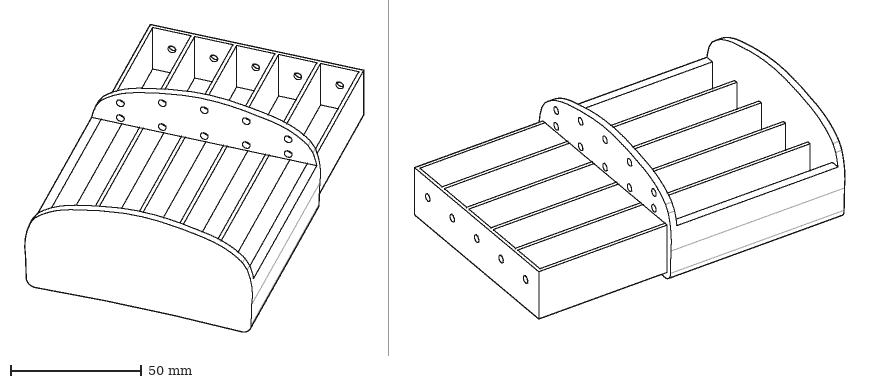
import cadquery as cq

total_length = 139.1
housing_length = 80.0
plate_thickness = 2.9

compartment_count = 5
tray_width = 87.0
wall = 1.5
compartment_pitch = (tray_width - wall) / compartment_count
compartment_width = compartment_pitch - wall
tray_bottom = 3.2
tray_top = 25.0
floor_top = tray_bottom + wall

crown_height = 45.9
crown_side = (21.7, 43.3)
shoulder_start = (34.5, 39.4)
shoulder_end = (42.3, 34.0)
side_top = (44.2, 30.9)
side_middle = (46.3, 20.9)
side_bottom = (46.0, 14.5)
corner_top = (45.8, 4.0)
corner_middle = (44.7, 1.1)
corner_bottom = (41.6, 0)
underside_rise = 1.0

hole_diameter = 3.0
upper_hole_heights = (34.9, 39.4, 40.3, 39.4, 34.9)
lower_hole_height = 27.7
back_hole_height = 16.3


def mirrored(point):
    return (-point[0], point[1])


def housing_prism(start_y, end_y):
    """Housing outline extruded between two Y positions."""
    crown_points = [
        mirrored(shoulder_start),
        mirrored(crown_side),
        (0, crown_height),
        crown_side,
        shoulder_start,
        shoulder_end,
    ]
    return (
        cq.Workplane("XZ", origin=(0, start_y, 0))
        .moveTo(*mirrored(shoulder_end))
        .spline(crown_points, includeCurrent=True)
        .lineTo(*side_top)
        .threePointArc(side_middle, side_bottom)
        .lineTo(*corner_top)
        .threePointArc(corner_middle, corner_bottom)
        .threePointArc((0, underside_rise), mirrored(corner_bottom))
        .threePointArc(mirrored(corner_middle), mirrored(corner_top))
        .lineTo(*mirrored(side_bottom))
        .threePointArc(mirrored(side_middle), mirrored(side_top))
        .close()
        .extrude(start_y - end_y)
    )


def block(width, start_y, end_y, bottom, top, center_x=0):
    """Box centred on center_x, between the given Y and Z positions."""
    return cq.Workplane("XY", origin=(center_x, start_y, bottom)).box(
        width, end_y - start_y, top - bottom, centered=(True, False, False)
    )


def hole_cutter(x, z, start_y, end_y):
    """Round cutter running along Y."""
    return (
        cq.Workplane("XZ", origin=(x, start_y, z))
        .circle(hole_diameter / 2)
        .extrude(start_y - end_y)
    )


middle_plate_front = housing_length - plate_thickness
opening = block(
    tray_width + compartment_pitch, plate_thickness, middle_plate_front, tray_top, crown_height + wall
)
housing = housing_prism(0, housing_length).cut(opening)

tray = block(tray_width, plate_thickness, total_length, tray_bottom, tray_top)
result = housing.union(tray)

back_wall_front = total_length - wall
for index, upper_hole_height in enumerate(upper_hole_heights):
    x = (index - (compartment_count - 1) / 2) * compartment_pitch
    result = result.cut(block(compartment_width, plate_thickness, back_wall_front, floor_top, tray_top, x))
    for height in (upper_hole_height, lower_hole_height):
        result = result.cut(hole_cutter(x, height, middle_plate_front, housing_length))
    result = result.cut(hole_cutter(x, back_hole_height, back_wall_front, total_length))